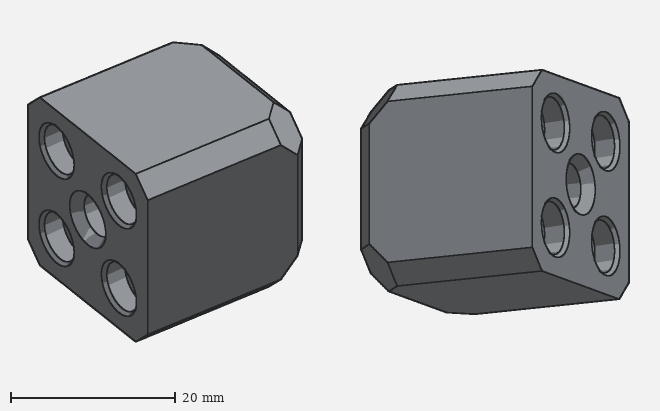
import cadquery as cq

side = 25.0
half = side / 2
edge_chamfer = 2.5
corner_setback = 3 * edge_chamfer

pocket_diameter = 6.5
pocket_mouth_width = 0.4
pocket_mouth_depth = 0.52
pocket_depth = 3.25
pocket_offset = 6.5

bore_diameter = 5.5
bore_mouth_width = 1.0
bore_mouth_depth = 1.45


def chamfered_cube():
    """Cube chamfered on every edge except those around the -Y face."""
    cube = cq.Workplane("XY").box(side, side, side)
    return cube.edges("|Y or >Y").chamfer(edge_chamfer)


def corner_cutter(x_sign, z_sign):
    """Tetrahedron that cuts one +Y corner by a plane equally inclined to its three faces."""
    corner = cq.Vector(x_sign * half, half, z_sign * half)
    along_x = corner - cq.Vector(x_sign * corner_setback, 0, 0)
    along_y = corner - cq.Vector(0, corner_setback, 0)
    along_z = corner - cq.Vector(0, 0, z_sign * corner_setback)
    triangles = [
        (along_x, along_y, along_z),
        (corner, along_x, along_y),
        (corner, along_y, along_z),
        (corner, along_z, along_x),
    ]
    faces = [cq.Face.makeFromWires(cq.Wire.makePolygon([*t, t[0]])) for t in triangles]
    return cq.Workplane(obj=cq.Solid.makeSolid(cq.Shell.makeShell(faces)))


def hole_cutter(x, z, diameter, depth, mouth_width, mouth_depth):
    """Round hole running in +Y from the -Y face, with a conical mouth."""
    radius = diameter / 2
    front = cq.Workplane("XZ", origin=(x, -half, z))
    hole = front.circle(radius).extrude(-depth)
    mouth = cq.Workplane(
        obj=cq.Solid.makeCone(
            radius + mouth_width,
            radius,
            mouth_depth,
            pnt=cq.Vector(x, -half, z),
            dir=cq.Vector(0, 1, 0),
        )
    )
    return hole.union(mouth)


result = chamfered_cube()
for x_sign in (-1, 1):
    for z_sign in (-1, 1):
        result = result.cut(corner_cutter(x_sign, z_sign))
        pocket = hole_cutter(
            x_sign * pocket_offset,
            z_sign * pocket_offset,
            pocket_diameter,
            pocket_depth,
            pocket_mouth_width,
            pocket_mouth_depth,
        )
        result = result.cut(pocket)

result = result.cut(hole_cutter(0, 0, bore_diameter, side, bore_mouth_width, bore_mouth_depth))